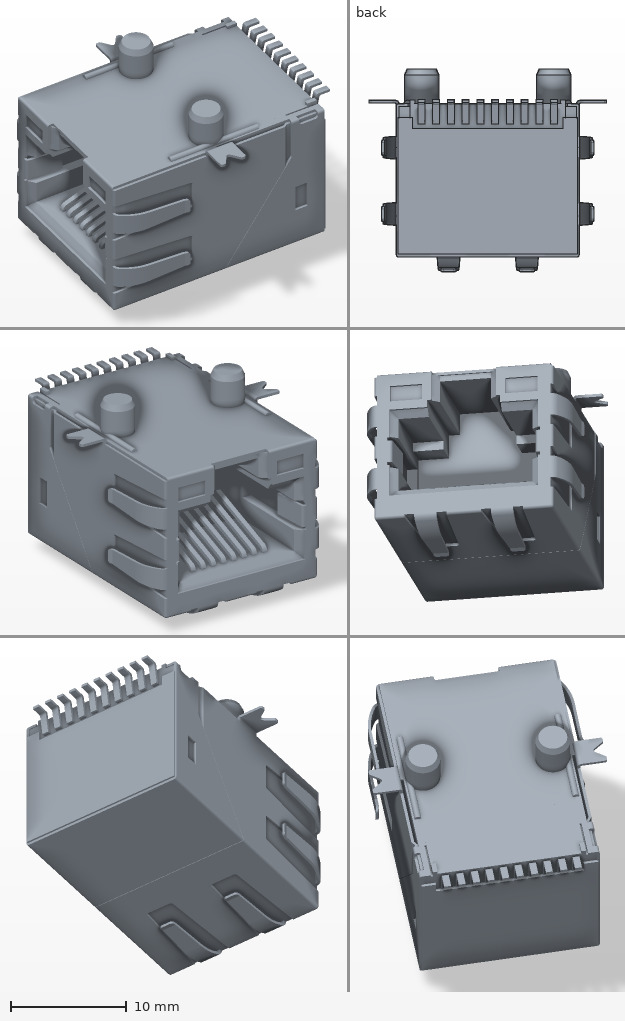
import cadquery as cq
import math


sheet = 0.25
shell_half = 7.9
core_half = shell_half - sheet
top_z = 13.25
side_top_z = top_z - sheet
side_rear_y = 21.45
core_rear_y = 21.4
bend_radius = 0.23

mouth_half = 6.55
mouth_low_z = 2.08
mouth_high_z = 9.95
mouth_chamfer = 0.65
mouth_chamfer_depth = 0.49
cavity_half = mouth_half - mouth_chamfer
cavity_floor_z = mouth_low_z + mouth_chamfer
cavity_rear_y = 9.25
ledge_y = 6.95
ledge_z = 8.52

latch_step_half = 3.22
latch_step_z = 10.6
latch_mouth_half = 2.85
latch_half = 2.25
latch_ceiling_z = 12.48
latch_roof_y = 0.55

window_inner_x = 3.68
window_outer_x = 6.5
window_low_z = 10.72
window_high_z = 12.1

groove_x = mouth_half + sheet
groove_rear_y = 8.8
groove_low_z = 4.77
groove_high_z = 7.55
tab_low_z = 5.16
tab_high_z = 7.15
tab_bend = sheet
tab_end_y = 3.52
tab_end_x = 6.07
relief_half = 6.74
relief_height = 0.28

post_x = 5.7
post_y = 10.76
post_diameter = 3.0
post_height = 3.0
post_lead_height = 0.55
post_lead_inset = 0.25
rib_x = 6.92
rib_radius = 0.3
rib_front_y = 6.27
rib_rear_y = 15.2

insert_front_y = 1.9
insert_rear_y = 10.19
insert_low_z = 1.62
insert_lip_z = 3.35
contact_count = 8
contact_row = 7.38
contact_width = 0.46
contact_thickness = 0.35
contact_slope = 20.0
contact_bend_z = 3.35

module_half = 6.71
module_front_y = 15.7
boss_width = 0.42
boss_length = 0.95
boss_height = 0.3
tail_count = 10
tail_pitch = 1.27
tail_width = 0.6
tail_end_y = 23.15
tail_top_z = 13.6
tail_knee_y = 22.1
tail_bend = 0.19
tail_root_y = 21.74
tail_root_z = 11.48

strip_rear_y = 3.77
seam_gap = 0.05
seam_low_y = 11.32
seam_knee_y = 18.1
seam_knee_z = 9.45
joggle_front_y = 17.4
joggle_rear_y = 17.78
tongue_rear_y = 18.52
ear_front_y = 9.47
ear_rear_y = 12.01
ear_reach = 10.25
ear_top_z = 13.55
ear_bend = 0.35
ear_corner = 0.19
ear_notch_half = 0.83
ear_notch_tip_x = 9.12
ear_notch_round = 0.23

side_finger_z = (3.73, 9.45)
bottom_finger_x = (-3.38, 3.38)
finger_rise = 1.4
finger_bend = 0.7
finger_bend_angle = 55.0
finger_kick_y = 6.53
finger_tip_y = 7.01
finger_kick = 0.15
finger_root_half = 0.985
finger_tip_half = 0.65
slot_rear_y = 8.03
slot_front_half = 1.85
slot_rear_half = 1.32

flange_inner_x = 6.88
flange_front_y = 18.15
back_plate_half = 7.75
back_plate_top_z = 12.04
back_plate_rear_y = core_rear_y + 0.23
tail_gap_half = 6.48
tail_gap_z = 11.11
bend_slot_y = (18.87, 20.8)
bend_slot_inner_x = 7.38
bend_slot_low_z = 12.62
bend_slot_round = 0.28
latch_hole_y = (18.5, 19.72)
latch_hole_z = (3.57, 6.07)

recess_front_y = 10.72
recess_low_z = 8.33


def block(x0, x1, y0, y1, z0, z1):
    """Axis-parallel box between the given limits."""
    return cq.Workplane("XY").box(x1 - x0, y1 - y0, z1 - z0, centered=False).translate((x0, y0, z0))


def wide_block(half, y0, y1, z0, z1):
    """Box that is symmetric about the YZ plane."""
    return block(-half, half, y0, y1, z0, z1)


def both_sides(shape):
    """The shape together with its mirror image in the YZ plane."""
    return shape.union(shape.mirror("YZ"))


def extrude_x(points, x0, x1):
    """Polygon of (y, z) points extruded between two X positions."""
    return cq.Workplane("YZ").polyline(points).close().extrude(x1 - x0).translate((x0, 0, 0))


def extrude_z(points, z0, z1):
    """Polygon of (x, y) points extruded between two heights."""
    return cq.Workplane("XY").polyline(points).close().extrude(z1 - z0).translate((0, 0, z0))


def mouth_lead_in():
    """Tapered entry of the plug opening."""
    mouth_height = mouth_high_z - mouth_low_z
    return (
        cq.Workplane("XZ", origin=(0, sheet, (mouth_low_z + mouth_high_z) / 2))
        .rect(2 * mouth_half, mouth_height)
        .workplane(offset=-mouth_chamfer_depth)
        .rect(2 * cavity_half, mouth_height - 2 * mouth_chamfer)
        .loft(ruled=True)
    )


def latch_channel():
    """Stepped channel for the plug latch, with a tapered entry."""
    taper_y = sheet + mouth_chamfer_depth
    entry = extrude_z(
        [
            (-latch_mouth_half, sheet),
            (latch_mouth_half, sheet),
            (latch_half, taper_y),
            (-latch_half, taper_y),
        ],
        latch_step_z,
        top_z,
    )
    channel = wide_block(latch_half, sheet, cavity_rear_y, latch_step_z, latch_ceiling_z)
    step = wide_block(latch_step_half, sheet, cavity_rear_y, cavity_floor_z, latch_step_z)
    return entry.union(channel).union(step)


def plug_cavity():
    front_ceiling_z = mouth_high_z - mouth_chamfer
    front = wide_block(cavity_half, sheet, ledge_y, cavity_floor_z, front_ceiling_z)
    rear = wide_block(cavity_half, sheet, cavity_rear_y, cavity_floor_z, ledge_z)
    grooves = wide_block(groove_x, sheet, groove_rear_y, groove_low_z, groove_high_z)
    return front.union(rear).union(grooves).union(mouth_lead_in()).union(latch_channel())


def insert_block():
    """Floor slab of the contact insert with the raised lip at its rear."""
    slab = wide_block(cavity_half, insert_front_y, insert_rear_y, insert_low_z, cavity_floor_z)
    lip = wide_block(cavity_half, cavity_rear_y, insert_rear_y, cavity_floor_z, insert_lip_z)
    return slab.union(lip)


def locating_post():
    radius = post_diameter / 2
    lead_z = post_height - post_lead_height
    return (
        cq.Workplane("XZ")
        .polyline(
            [
                (0, 0),
                (radius, 0),
                (radius, lead_z),
                (radius - post_lead_inset, post_height),
                (0, post_height),
            ]
        )
        .close()
        .revolve(360, (0, 0, 0), (0, 1, 0))
        .translate((post_x, post_y, top_z))
    )


def crush_rib():
    """Half-round rib along Y."""
    round_bar = (
        cq.Workplane("XZ", origin=(rib_x, rib_front_y, top_z))
        .circle(rib_radius)
        .extrude(rib_front_y - rib_rear_y)
    )
    return round_bar.intersect(wide_block(shell_half, 0, side_rear_y, top_z, top_z + post_height))


def make_housing():
    body = wide_block(core_half, sheet, core_rear_y, sheet, top_z)
    strip_seat = wide_block(core_half, sheet, strip_rear_y, side_top_z, top_z)
    flange_seat = wide_block(core_half, flange_front_y, core_rear_y, side_top_z, top_z)
    module_bay = wide_block(module_half, module_front_y, core_rear_y, sheet, top_z)
    tongue_recess = block(
        core_half - sheet, core_half, recess_front_y, tongue_rear_y, recess_low_z, top_z
    )
    body = body.cut(strip_seat).cut(flange_seat).cut(module_bay).cut(both_sides(tongue_recess))
    body = body.cut(plug_cavity()).cut(insert_block())
    return body.union(both_sides(locating_post())).union(both_sides(crush_rib()))


def contact_blade():
    """Sloping blade whose rounded nose rises from the cavity floor."""
    slope = math.radians(contact_slope)
    nose = (contact_bend_z - cavity_floor_z) / math.cos(slope)
    nose_y = insert_front_y + nose
    bend_y = nose_y - nose * math.sin(slope)
    middle = (math.pi / 2 - slope) / 2
    nose_middle = (nose_y - nose * math.cos(middle), cavity_floor_z + nose * math.sin(middle))
    top_z = contact_bend_z + (cavity_rear_y - bend_y) * math.tan(slope)
    underside_z = top_z - contact_thickness / math.cos(slope)
    leg_rear_y = insert_front_y + contact_thickness
    leg_top_z = underside_z - (cavity_rear_y - leg_rear_y) * math.tan(slope)
    return (
        cq.Workplane("YZ", origin=(-contact_width / 2, 0, 0))
        .moveTo(insert_front_y, cavity_floor_z)
        .threePointArc(nose_middle, (bend_y, contact_bend_z))
        .lineTo(cavity_rear_y, top_z)
        .lineTo(cavity_rear_y, underside_z)
        .lineTo(leg_rear_y, leg_top_z)
        .lineTo(leg_rear_y, cavity_floor_z)
        .close()
        .extrude(contact_width)
    )


def make_contact_insert():
    insert = insert_block()
    pitch = contact_row / (contact_count - 1)
    for i in range(contact_count):
        insert = insert.union(contact_blade().translate((i * pitch - contact_row / 2, 0, 0)))
    return insert


def solder_tail():
    """Foot at board level, leaning leg, and root that enters the module."""
    foot_low_z = tail_top_z - sheet
    root_top_z = tail_root_z + sheet
    outline = [
        (core_rear_y, tail_root_z),
        (tail_root_y, tail_root_z),
        (tail_knee_y, foot_low_z),
        (tail_end_y, foot_low_z),
        (tail_end_y, tail_top_z),
        (tail_knee_y - sheet, tail_top_z),
        (tail_root_y - sheet, root_top_z),
        (core_rear_y, root_top_z),
    ]
    tail = extrude_x(outline, -tail_width / 2, tail_width / 2)
    foot_bend = tail.edges(cq.NearestToPointSelector((0, tail_knee_y - sheet, tail_top_z)))
    tail = foot_bend.fillet(tail_bend)
    heel_bend = tail.edges(cq.NearestToPointSelector((0, tail_knee_y, foot_low_z)))
    return heel_bend.fillet(tail_bend)


def make_rear_module():
    module = wide_block(module_half, module_front_y, core_rear_y, sheet, top_z)
    boss = block(
        module_half - boss_width,
        module_half,
        core_rear_y - boss_length,
        core_rear_y,
        top_z,
        top_z + boss_height,
    )
    module = module.union(both_sides(boss))
    for i in range(tail_count):
        tail_x = (i - (tail_count - 1) / 2) * tail_pitch
        module = module.union(solder_tail().translate((tail_x, 0, 0)))
    return module


def seam_z(y):
    """Height of the slanted seam at a given Y."""
    return seam_knee_z * (y - seam_low_y) / (seam_knee_y - seam_low_y)


def front_wrap():
    """Front plate with the side walls, the floor and the top strip bent from it."""
    wrap = wide_block(shell_half, 0, joggle_front_y, 0, side_top_z)
    wrap = wrap.edges("<Y and |Z").fillet(bend_radius)
    wrap = wrap.edges("<Z and |X and <Y").fillet(bend_radius)
    wrap = wrap.cut(wide_block(core_half, sheet, joggle_front_y, sheet, side_top_z))
    strip = wide_block(core_half, 0, strip_rear_y, latch_step_z, top_z)
    strip = strip.edges("<Y and >Z").fillet(bend_radius)
    strip = strip.cut(wide_block(core_half, sheet, strip_rear_y, latch_step_z, side_top_z))
    return wrap.union(strip)


def front_openings():
    """Plug opening, latch opening, indicator windows and relief notches."""
    openings = wide_block(mouth_half, 0, sheet, mouth_low_z, mouth_high_z)
    openings = openings.union(wide_block(latch_step_half, 0, sheet, mouth_high_z, latch_step_z))
    openings = openings.union(wide_block(latch_mouth_half, 0, latch_roof_y, latch_step_z, top_z))
    window = block(window_inner_x, window_outer_x, 0, sheet, window_low_z, window_high_z)
    openings = openings.union(both_sides(window))
    for low_z in (tab_low_z - relief_height, tab_high_z):
        openings = openings.union(wide_block(relief_half, 0, sheet, low_z, low_z + relief_height))
    return openings


def grounding_tab():
    """Tab bent rearward from the edge of the plug opening into the side groove."""
    run_x = mouth_half - tab_bend
    diagonal = tab_bend * math.sqrt(0.5)
    return (
        cq.Workplane("XY", origin=(0, 0, tab_low_z))
        .moveTo(mouth_half, 0)
        .threePointArc((run_x + tab_bend - diagonal, tab_bend - diagonal), (run_x, tab_bend))
        .lineTo(tab_end_x, tab_end_y)
        .lineTo(tab_end_x + sheet, tab_end_y)
        .lineTo(mouth_half, sheet)
        .close()
        .extrude(tab_high_z - tab_low_z)
    )


def mounting_ear():
    """Ear bent outward from the top edge of the side wall, with a V notch at its end."""
    inner_bend = ear_bend - sheet
    bend_x = core_half + ear_bend
    bend_z = ear_top_z - ear_bend
    diagonal = math.sqrt(0.5)
    ear = (
        cq.Workplane("XZ", origin=(0, ear_front_y, 0))
        .moveTo(core_half, side_top_z - sheet)
        .lineTo(core_half, bend_z)
        .threePointArc(
            (bend_x - ear_bend * diagonal, bend_z + ear_bend * diagonal), (bend_x, ear_top_z)
        )
        .lineTo(ear_reach, ear_top_z)
        .lineTo(ear_reach, ear_top_z - sheet)
        .lineTo(bend_x, ear_top_z - sheet)
        .threePointArc(
            (bend_x - inner_bend * diagonal, bend_z + inner_bend * diagonal),
            (bend_x - inner_bend, bend_z),
        )
        .lineTo(shell_half, side_top_z - sheet)
        .close()
        .extrude(ear_front_y - ear_rear_y)
    )
    middle_y = (ear_front_y + ear_rear_y) / 2
    notch = extrude_z(
        [
            (ear_notch_tip_x, middle_y),
            (ear_reach, middle_y - ear_notch_half),
            (ear_reach, middle_y + ear_notch_half),
        ],
        side_top_z,
        ear_top_z,
    )
    notch = notch.edges("|Z and <X").fillet(ear_notch_round)
    ear = ear.edges("|Z and >X").fillet(ear_corner)
    return ear.cut(notch)


def seam_tongue():
    """Rear end of the side wall, stepped inward so that it lies under the rear shield."""
    return extrude_z(
        [
            (shell_half, joggle_front_y),
            (core_half, joggle_rear_y),
            (core_half, tongue_rear_y),
            (core_half - sheet, tongue_rear_y),
            (core_half - sheet, joggle_rear_y),
            (core_half, joggle_front_y),
        ],
        recess_low_z,
        side_top_z,
    )


def below_seam():
    """Everything behind and below the slanted seam, removed from the front shield."""
    start_y = seam_low_y - seam_gap
    end_z = seam_z(tongue_rear_y + seam_gap)
    return extrude_x(
        [(start_y, 0), (tongue_rear_y, end_z), (tongue_rear_y, 0)], -shell_half, shell_half
    )


def spring_finger():
    """Finger along Y, rising toward +X from the front plate's edge at X = 0, centred on Z = 0."""
    angle = math.radians(finger_bend_angle)
    bow_radius = (finger_rise - finger_bend * math.sin(angle)) / (1 - math.sin(angle))
    bow_x = finger_rise - bow_radius
    straight_y = finger_bend + (bow_radius - finger_bend) * math.cos(angle)
    middle = (math.pi / 2 + angle) / 2

    def bend_point(radius, turn):
        return (radius * math.sin(turn), finger_bend - radius * math.cos(turn))

    def bow_point(radius, turn):
        return (bow_x + radius * math.sin(turn), straight_y - radius * math.cos(turn))

    inner_x = finger_rise - sheet
    inner_bend = finger_bend - sheet
    inner_bow = bow_radius - sheet
    profile = (
        cq.Workplane("XY", origin=(0, 0, -finger_root_half))
        .moveTo(0, 0)
        .threePointArc(bend_point(finger_bend, angle / 2), bend_point(finger_bend, angle))
        .threePointArc(bow_point(bow_radius, middle), (finger_rise, straight_y))
        .lineTo(finger_rise, finger_kick_y)
        .lineTo(finger_rise + finger_kick, finger_tip_y)
        .lineTo(inner_x + finger_kick, finger_tip_y)
        .lineTo(inner_x, finger_kick_y)
        .lineTo(inner_x, straight_y)
        .threePointArc(bow_point(inner_bow, middle), bow_point(inner_bow, angle))
        .threePointArc(bend_point(inner_bend, angle / 2), bend_point(inner_bend, 0))
        .close()
        .extrude(2 * finger_root_half)
    )
    taper = extrude_x(
        [
            (0, -finger_root_half),
            (finger_tip_y, -finger_tip_half),
            (finger_tip_y, finger_tip_half),
            (0, finger_root_half),
        ],
        0,
        finger_rise + finger_kick,
    )
    taper = taper.edges("|X and >Y").fillet(bend_radius)
    return profile.intersect(taper)


def finger_slot():
    """Tapered slot around a finger, in the same position as the finger."""
    slot = extrude_x(
        [
            (0, -slot_front_half),
            (slot_rear_y, -slot_rear_half),
            (slot_rear_y, slot_rear_half),
            (0, slot_front_half),
        ],
        0,
        sheet,
    )
    return slot.edges("|X and >Y").fillet(bend_radius)


def at_every_finger(feature):
    """Copies of the feature at each finger of the right, left and bottom walls."""
    copies = []
    for z in side_finger_z:
        right = feature.translate((core_half, 0, z))
        copies += [right, right.mirror("YZ")]
    turned = feature.rotate((0, 0, 0), (0, 1, 0), 90)
    for x in bottom_finger_x:
        copies.append(turned.translate((x, 0, sheet)))
    return copies


def make_front_shield():
    shield = front_wrap().union(both_sides(seam_tongue())).cut(below_seam())
    shield = shield.cut(front_openings())
    shield = shield.union(both_sides(grounding_tab())).union(both_sides(mounting_ear()))
    for slot in at_every_finger(finger_slot()):
        shield = shield.cut(slot)
    for finger in at_every_finger(spring_finger()):
        shield = shield.union(finger)
    return shield


def rear_wrap():
    """Side walls, floor and top flanges of the rear shield."""
    wrap = wide_block(shell_half, seam_low_y, side_rear_y, 0, top_z)
    wrap = wrap.edges("|Y").fillet(bend_radius)
    wrap = wrap.cut(wide_block(core_half, seam_low_y, side_rear_y, sheet, side_top_z))
    wrap = wrap.cut(wide_block(flange_inner_x, seam_low_y, side_rear_y, side_top_z, top_z))
    ahead_of_seam = extrude_x(
        [(seam_low_y, 0), (seam_knee_y, seam_knee_z), (seam_knee_y, top_z), (seam_low_y, top_z)],
        -shell_half,
        shell_half,
    )
    flange_front = wide_block(core_half, seam_low_y, flange_front_y, side_top_z, top_z)
    return wrap.cut(ahead_of_seam).cut(flange_front)


def make_rear_shield():
    shield = rear_wrap()
    back = wide_block(back_plate_half, core_rear_y, back_plate_rear_y, sheet, back_plate_top_z)
    tail_gap = wide_block(tail_gap_half, core_rear_y, back_plate_rear_y, tail_gap_z, back_plate_top_z)
    shield = shield.union(back.cut(tail_gap))
    bend_slot = block(bend_slot_inner_x, shell_half, *bend_slot_y, bend_slot_low_z, top_z)
    bend_slot = bend_slot.edges("|X and <Z").fillet(bend_slot_round)
    latch_hole = block(core_half, shell_half, *latch_hole_y, *latch_hole_z)
    return shield.cut(both_sides(bend_slot)).cut(both_sides(latch_hole))


housing = make_housing()
contact_insert = make_contact_insert()
rear_module = make_rear_module()
front_shield = make_front_shield()
rear_shield = make_rear_shield()

result = cq.Compound.makeCompound(
    [
        housing.val(),
        contact_insert.val(),
        rear_module.val(),
        front_shield.val(),
        rear_shield.val(),
    ]
)